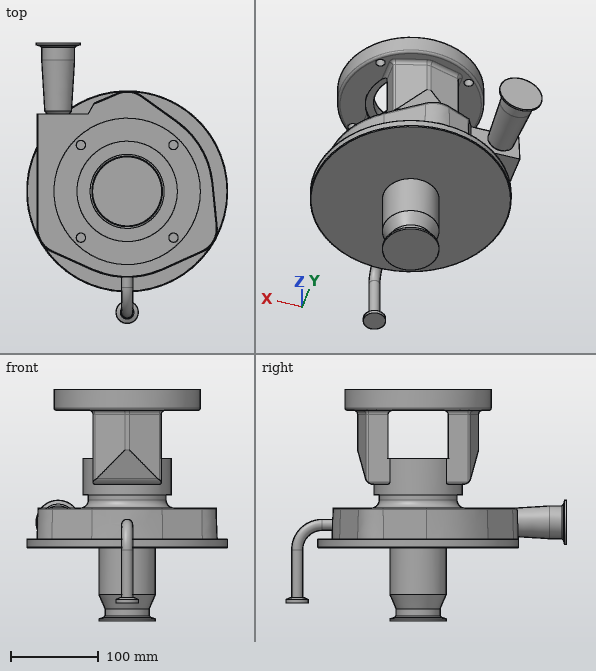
import cadquery as cq
import math


PLATE_DIA = 230.0
PLATE_TOP = 10.3
PLATE_CHAMFER = 1.0

CASING_TOP = 45.5
CASING_DRAFT = 2.0
RIM_HEIGHT = 2.0
LOBE_CENTER_R = 85.3
LOBE_R = 29.2
SIDE_ARC_R = 98.5
OUTLET_FACE_Y = 88.5
NOTCH_FOOT_X = -44.5
SHOULDER = (-37.5, 101.0)

NECK_R = 44.5
NECK_FILLET = 9.3
RING_R = 50.7
RING_BOTTOM = 60.5
RING_TOP = 102.3
RING_BORE_R = 40.5
RING_FLOOR_R = 39.5
RING_BORE_DEPTH = 7.0

FLANGE_TOP = 181.2
FLANGE_THICKNESS = 24.0
FLANGE_BOTTOM = FLANGE_TOP - FLANGE_THICKNESS
FLANGE_R = 83.7
FLANGE_EDGE_FILLET = 3.0
SPIGOT_R = 57.5
SPIGOT_DEPTH = 6.0
FLANGE_BORE_R = 42.3
BOLT_SPACING = 105.8
BOLT_HOLE_DIA = 10.5

LEG_HALF_WIDTH = 39.0
LEG_SIDE_Y = 59.0
LEG_RIDGE_Y = 69.3
RIDGE_HALF_WIDTH = 2.5
LEG_BOTTOM = 72.5
LEG_SLOPE_TOP = 112.0
LEG_TOE_Y = 58.5
LEG_TOE_FILLET = 9.5
LEG_EDGE_FILLET = 3.0
LEG_ROOT_FILLET = 4.5
LEG_BORE_R = 52.0
LEG_BORE_RECESS = 3.2
LEG_BORE_TOP = FLANGE_BOTTOM + LEG_BORE_RECESS

SUCTION_R = 32.5
SUCTION_CONE_TOP = -53.2
SUCTION_CONE_BOTTOM = -69.5
SUCTION_NECK_R = 25.3
SUCTION_FERRULE_TOP = -77.5
SUCTION_COLLAR_R = 27.3
SUCTION_COLLAR_Z = -79.5
SUCTION_FERRULE_EDGE = -81.0
SUCTION_END = -83.7

NOZZLE_X = -79.0
NOZZLE_Z = 29.2
NOZZLE_ROOT_R = 12.5
NOZZLE_CONE_R = 15.5
NOZZLE_CONE_START = 91.7
NOZZLE_R = 19.0
NOZZLE_CONE_END = 150.0
NOZZLE_FERRULE_START = 164.2
NOZZLE_COLLAR_R = 21.0
NOZZLE_COLLAR_Y = 166.0
NOZZLE_FERRULE_EDGE = 167.5
NOZZLE_FERRULE_R = 25.3
NOZZLE_END = 169.5

DRAIN_R = 6.5
DRAIN_Z = 26.3
DRAIN_BEND_R = 28.5
DRAIN_Y = -138.2
DRAIN_COLLAR_R = 7.7
DRAIN_FERRULE_R = 12.8
DRAIN_FERRULE_TOP = -56.8
DRAIN_FERRULE_EDGE = -59.0
DRAIN_END = -63.2

PIPE_OVERLAP = 3.2

MARGIN = 0.3


def polar(radius, degrees, center=(0, 0)):
    angle = math.radians(degrees)
    return (center[0] + radius * math.cos(angle), center[1] + radius * math.sin(angle))


def turned(points):
    """Solid of revolution about Z from (radius, z) points, closed along the axis."""
    outline = [(0, points[0][1])] + points + [(0, points[-1][1])]
    return cq.Workplane("XZ").polyline(outline).close().revolve(360, (0, 0, 0), (0, 1, 0))


def cylinder(radius, bottom, top):
    return cq.Workplane("XY", origin=(0, 0, bottom)).circle(radius).extrude(top - bottom)


def make_plate():
    plate = cq.Workplane("XY").circle(PLATE_DIA / 2).extrude(PLATE_TOP)
    return plate.edges().chamfer(PLATE_CHAMFER)


def make_casing():
    right, top, left = [polar(LOBE_CENTER_R, angle) for angle in (-30, 90, 210)]
    half_arc = 60 - math.degrees(math.acos((SIDE_ARC_R - LOBE_R) / LOBE_CENTER_R))
    shoulder_x = SHOULDER[0] - top[0]
    shoulder_y = SHOULDER[1] - top[1]
    shoulder_distance = math.hypot(shoulder_x, shoulder_y)
    shoulder_normal = math.degrees(math.atan2(shoulder_y, shoulder_x) - math.acos(LOBE_R / shoulder_distance))
    left_x = left[0] - LOBE_R

    outline = (
        cq.Workplane("XY", origin=(0, 0, PLATE_TOP))
        .moveTo(left_x, left[1])
        .threePointArc(polar(LOBE_R, 210, left), polar(LOBE_R, 270 - half_arc, left))
        .lineTo(*polar(SIDE_ARC_R, 270 - half_arc))
        .threePointArc((0, -SIDE_ARC_R), polar(SIDE_ARC_R, 270 + half_arc))
        .lineTo(*polar(LOBE_R, 270 + half_arc, right))
        .threePointArc(polar(LOBE_R, -30, right), polar(LOBE_R, 30 - half_arc, right))
        .lineTo(*polar(SIDE_ARC_R, 30 - half_arc))
        .threePointArc(polar(SIDE_ARC_R, 30), polar(SIDE_ARC_R, 30 + half_arc))
        .lineTo(*polar(LOBE_R, 30 + half_arc, top))
        .threePointArc(polar(LOBE_R, 90, top), polar(LOBE_R, shoulder_normal, top))
        .lineTo(*SHOULDER)
        .lineTo(left_x, SHOULDER[1])
        .close()
    )
    casing = outline.extrude(CASING_TOP - RIM_HEIGHT - PLATE_TOP, taper=CASING_DRAFT)
    casing = casing.faces(">Z").wires().toPending().extrude(RIM_HEIGHT)

    notch_rise = SHOULDER[1] - OUTLET_FACE_Y
    notch_run = SHOULDER[0] - NOTCH_FOOT_X
    notch = (
        cq.Workplane("XY")
        .moveTo(NOTCH_FOOT_X, OUTLET_FACE_Y)
        .lineTo(NOTCH_FOOT_X + 2 * notch_run, OUTLET_FACE_Y + 2 * notch_rise)
        .lineTo(2 * left_x, OUTLET_FACE_Y + 2 * notch_rise)
        .lineTo(2 * left_x, OUTLET_FACE_Y)
        .close()
        .extrude(CASING_TOP)
    )
    return casing.cut(notch)


def make_neck_and_ring():
    fillet_top = CASING_TOP + NECK_FILLET
    fillet_mid = polar(NECK_FILLET, 225, (NECK_R + NECK_FILLET, fillet_top))
    neck = (
        cq.Workplane("XZ")
        .moveTo(0, PLATE_TOP)
        .lineTo(NECK_R + NECK_FILLET, PLATE_TOP)
        .lineTo(NECK_R + NECK_FILLET, CASING_TOP)
        .threePointArc(fillet_mid, (NECK_R, fillet_top))
        .lineTo(NECK_R, RING_BOTTOM)
        .lineTo(0, RING_BOTTOM)
        .close()
        .revolve(360, (0, 0, 0), (0, 1, 0))
    )
    return neck.union(turned([(RING_R, RING_BOTTOM), (RING_R, RING_TOP)]))


def make_legs():
    """Both legs as one block across the axis; the leg bore separates them later."""
    corners = []
    for side in (1, -1):
        corners += [
            (side * LEG_HALF_WIDTH, side * LEG_SIDE_Y),
            (side * RIDGE_HALF_WIDTH, side * LEG_RIDGE_Y),
            (-side * RIDGE_HALF_WIDTH, side * LEG_RIDGE_Y),
            (-side * LEG_HALF_WIDTH, side * LEG_SIDE_Y),
        ]
    block = (
        cq.Workplane("XY", origin=(0, 0, LEG_BOTTOM))
        .polyline(corners)
        .close()
        .extrude(FLANGE_BOTTOM - LEG_BOTTOM)
        .edges("|Z and (>X or <X)")
        .fillet(LEG_EDGE_FILLET)
    )
    front_profile = (
        cq.Workplane("XY", origin=(0, 0, LEG_BOTTOM))
        .rect(2 * LEG_HALF_WIDTH, 2 * LEG_RIDGE_Y)
        .extrude(FLANGE_BOTTOM - LEG_BOTTOM)
        .faces("<Z")
        .edges("|Y")
        .fillet(LEG_EDGE_FILLET)
    )
    side_profile = (
        cq.Workplane("YZ")
        .moveTo(-LEG_TOE_Y, LEG_BOTTOM)
        .lineTo(LEG_TOE_Y, LEG_BOTTOM)
        .lineTo(LEG_RIDGE_Y, LEG_SLOPE_TOP)
        .lineTo(LEG_RIDGE_Y, FLANGE_BOTTOM)
        .lineTo(-LEG_RIDGE_Y, FLANGE_BOTTOM)
        .lineTo(-LEG_RIDGE_Y, LEG_SLOPE_TOP)
        .close()
        .extrude(LEG_HALF_WIDTH, both=True)
        .faces("<Z")
        .edges("|X")
        .fillet(LEG_TOE_FILLET)
    )
    return block.intersect(front_profile).intersect(side_profile)


def make_bracket():
    flange = (
        cq.Workplane("XY", origin=(0, 0, FLANGE_BOTTOM))
        .circle(FLANGE_R)
        .extrude(FLANGE_THICKNESS)
        .faces("<Z")
        .edges()
        .fillet(FLANGE_EDGE_FILLET)
    )
    root = cq.selectors.BoxSelector(
        (-LEG_HALF_WIDTH - MARGIN, -LEG_RIDGE_Y - MARGIN, FLANGE_BOTTOM - MARGIN),
        (LEG_HALF_WIDTH + MARGIN, LEG_RIDGE_Y + MARGIN, FLANGE_BOTTOM + MARGIN),
        boundingbox=True,
    )
    return flange.union(make_legs()).edges(root).fillet(LEG_ROOT_FILLET)


def bore_bracket(bracket):
    bracket = bracket.cut(cylinder(LEG_BORE_R, RING_TOP, LEG_BORE_TOP))
    bracket = bracket.cut(cylinder(FLANGE_BORE_R, LEG_BORE_TOP, FLANGE_TOP))
    bracket = bracket.cut(cylinder(SPIGOT_R, FLANGE_TOP - SPIGOT_DEPTH, FLANGE_TOP))
    bolt_holes = (
        cq.Workplane("XY", origin=(0, 0, FLANGE_BOTTOM))
        .rect(BOLT_SPACING, BOLT_SPACING, forConstruction=True)
        .vertices()
        .circle(BOLT_HOLE_DIA / 2)
        .extrude(FLANGE_THICKNESS)
    )
    return bracket.cut(bolt_holes)


def make_suction_pipe():
    return turned([
        (SUCTION_R, 0),
        (SUCTION_R, SUCTION_CONE_TOP),
        (SUCTION_NECK_R, SUCTION_CONE_BOTTOM),
        (SUCTION_NECK_R, SUCTION_FERRULE_TOP),
        (SUCTION_COLLAR_R, SUCTION_COLLAR_Z),
        (SUCTION_R, SUCTION_FERRULE_EDGE),
        (SUCTION_R, SUCTION_END),
    ])


def make_nozzle():
    nozzle = turned([
        (NOZZLE_ROOT_R, OUTLET_FACE_Y - PIPE_OVERLAP),
        (NOZZLE_ROOT_R, OUTLET_FACE_Y),
        (NOZZLE_CONE_R, NOZZLE_CONE_START),
        (NOZZLE_R, NOZZLE_CONE_END),
        (NOZZLE_R, NOZZLE_FERRULE_START),
        (NOZZLE_COLLAR_R, NOZZLE_COLLAR_Y),
        (NOZZLE_FERRULE_R, NOZZLE_FERRULE_EDGE),
        (NOZZLE_FERRULE_R, NOZZLE_END),
    ])
    return nozzle.rotate((0, 0, 0), (1, 0, 0), -90).translate((NOZZLE_X, 0, NOZZLE_Z))


def make_drain():
    bend_center = (DRAIN_Y + DRAIN_BEND_R, DRAIN_Z - DRAIN_BEND_R)
    start_y = PIPE_OVERLAP - SIDE_ARC_R
    path = (
        cq.Workplane("YZ")
        .moveTo(start_y, DRAIN_Z)
        .lineTo(bend_center[0], DRAIN_Z)
        .threePointArc(polar(DRAIN_BEND_R, 135, bend_center), (DRAIN_Y, bend_center[1]))
        .lineTo(DRAIN_Y, DRAIN_END)
    )
    pipe = cq.Workplane("XZ", origin=(0, start_y, DRAIN_Z)).circle(DRAIN_R).sweep(path)
    ferrule = turned([
        (DRAIN_COLLAR_R, DRAIN_FERRULE_TOP),
        (DRAIN_FERRULE_R, DRAIN_FERRULE_EDGE),
        (DRAIN_FERRULE_R, DRAIN_END),
    ])
    return pipe.union(ferrule.translate((0, DRAIN_Y, 0)))


ring_bore = turned([
    (RING_FLOOR_R, RING_TOP - RING_BORE_DEPTH),
    (RING_BORE_R, RING_TOP),
])

result = (
    make_plate()
    .union(make_casing())
    .union(make_neck_and_ring())
    .union(bore_bracket(make_bracket()))
    .cut(ring_bore)
    .union(make_suction_pipe())
    .union(make_nozzle())
    .union(make_drain())
)